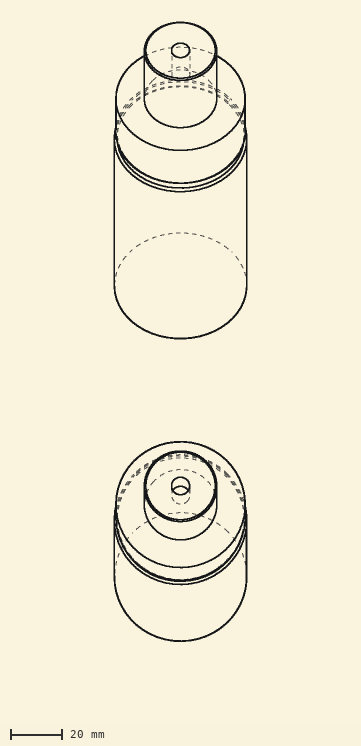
import cadquery as cq

total_height = 151.0
body_diameter = 51.0
collar_diameter = 49.8
neck_diameter = 48.9
shaft_diameter = 28.0

body_top = 94.4
neck_top = 98.5
collar_top = 120.0

body_bevel_height = 0.9
collar_bevel_height = 0.5
shaft_chamfer = 0.6

hole_diameter = 7.0
hole_depth = 15.1

body_radius = body_diameter / 2
collar_radius = collar_diameter / 2
neck_radius = neck_diameter / 2
shaft_radius = shaft_diameter / 2


def turned_profile():
    """Half section in the XZ plane, from the base up to the shaft end."""
    return (
        cq.Workplane("XZ")
        .lineTo(body_radius, 0)
        .lineTo(body_radius, body_top)
        .lineTo(neck_radius, body_top + body_bevel_height)
        .lineTo(neck_radius, neck_top)
        .lineTo(collar_radius, neck_top + collar_bevel_height)
        .lineTo(collar_radius, collar_top)
        .lineTo(shaft_radius, collar_top)
        .lineTo(shaft_radius, total_height - shaft_chamfer)
        .lineTo(shaft_radius - shaft_chamfer, total_height)
        .lineTo(0, total_height)
        .close()
    )


turned_body = turned_profile().revolve(360, (0, 0, 0), (0, 1, 0))

result = turned_body.faces(">Z").workplane().hole(hole_diameter, hole_depth)